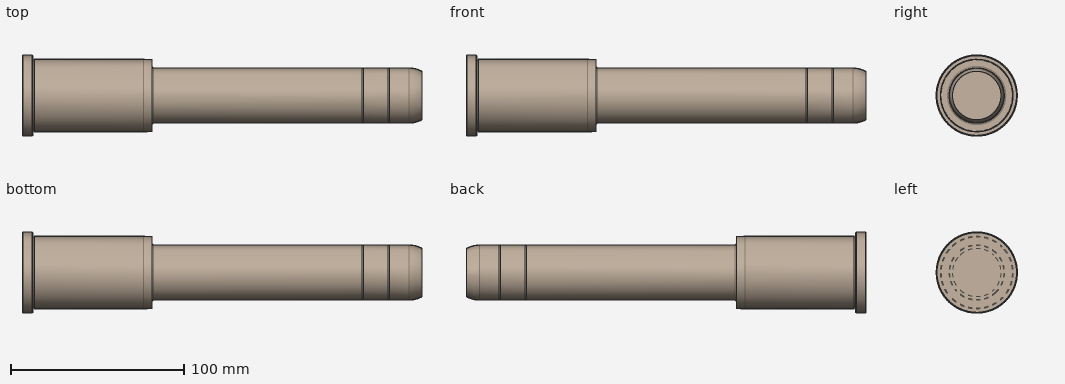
import cadquery as cq
import math

total_length = 231.0
flange_thickness = 6.0
shoulder_end = 75.0

flange_chamfer = 0.5

flange_diameter = 47.0
fit_diameter = 42.0
shank_diameter = 32.0

relief_width = 1.0
relief_depth = 0.4

lead_in_length = 5.0
lead_in_drop = 0.13

shank_root_fillet = 0.8

groove_depth = 0.3
groove_width = 1.0
groove_spacing = 15.0
first_groove_centre = 196.75
groove_count = 2

tip_length = 7.5
tip_radius = 15.0

flange_radius = flange_diameter / 2
fit_radius = fit_diameter / 2
shank_radius = shank_diameter / 2


def revolve_about_axis(profile):
    """Turn a closed half-profile (X = axis, Y = radius) about the X axis."""
    return profile.close().revolve(360, (0, 0, 0), (1, 0, 0))


def pillar_body():
    """Flange, relief neck, fit with lead-in, shank and rounded tip."""
    relief_end = flange_thickness + relief_width
    relief_radius = fit_radius - relief_depth
    lead_in_start = shoulder_end - lead_in_length
    lead_in_radius = fit_radius - lead_in_drop
    tip_start = total_length - tip_length
    arc_centre_radius = shank_radius - tip_radius
    end_radius = arc_centre_radius + math.sqrt(tip_radius**2 - tip_length**2)
    half_angle = math.asin(tip_length / tip_radius) / 2
    tip_middle = (
        tip_start + tip_radius * math.sin(half_angle),
        arc_centre_radius + tip_radius * math.cos(half_angle),
    )
    root_blend = shank_root_fillet * (1 - math.sqrt(0.5))
    profile = (
        cq.Workplane("XY")
        .lineTo(0, flange_radius - flange_chamfer)
        .lineTo(flange_chamfer, flange_radius)
        .lineTo(flange_thickness - flange_chamfer, flange_radius)
        .lineTo(flange_thickness, flange_radius - flange_chamfer)
        .lineTo(flange_thickness, relief_radius)
        .lineTo(relief_end, relief_radius)
        .lineTo(relief_end, fit_radius)
        .lineTo(lead_in_start, fit_radius)
        .lineTo(shoulder_end, lead_in_radius)
        .lineTo(shoulder_end, shank_radius + shank_root_fillet)
        .threePointArc(
            (shoulder_end + root_blend, shank_radius + root_blend),
            (shoulder_end + shank_root_fillet, shank_radius),
        )
        .lineTo(tip_start, shank_radius)
        .threePointArc(tip_middle, (total_length, end_radius))
        .lineTo(total_length, 0)
    )
    return revolve_about_axis(profile)


def groove_cutter(centre):
    """Round-bottomed ring that cuts one groove into the shank."""
    profile = (
        cq.Workplane("XY")
        .moveTo(centre - groove_width / 2, shank_radius)
        .threePointArc(
            (centre, shank_radius - groove_depth),
            (centre + groove_width / 2, shank_radius),
        )
    )
    return revolve_about_axis(profile)


result = pillar_body()
for index in range(groove_count):
    result = result.cut(groove_cutter(first_groove_centre + index * groove_spacing))